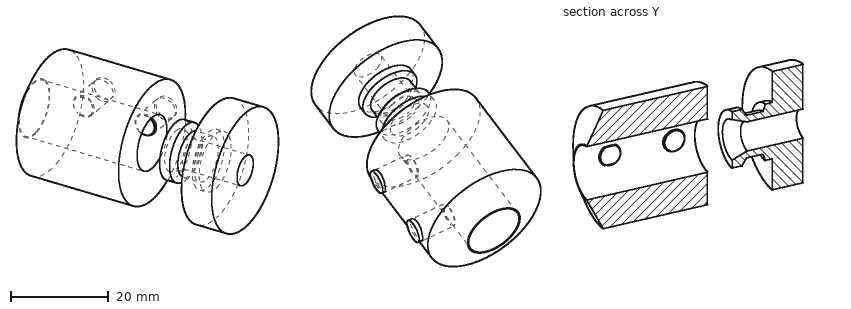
import cadquery as cq

overall_length = 50.05
flange_diameter = 27.0

housing_length = 28.0
nose_length = 3.75
nose_diameter = 12.5
bore_diameter = 12.0

screw_diameter = 4.95
screw_length = 8.6
screw_tip_chamfer = 0.2
screw_places = [(8.25, 14.25), (23.05, 14.1)]

disc_thickness = 7.15
stem_start = 33.6
stem_diameter = 12.9
neck_diameter = 9.8
groove_front = 35.95
neck_front = 37.0
neck_back = 40.75
groove_back = 41.25
hole_diameter = 6.55
countersink_diameter = 9.1
countersink_depth = 3.5


def revolve_about_x(profile):
    """Turn a closed (x, radius) outline into a solid of revolution."""
    return cq.Workplane("XY").polyline(profile).close().revolve(360, (0, 0, 0), (1, 0, 0))


def make_screw(x, outer_end):
    """Cylindrical set screw along Y with a chamfered inner end."""
    return (
        cq.Workplane("XZ", origin=(x, outer_end, 0))
        .circle(screw_diameter / 2)
        .extrude(screw_length)
        .faces("<Y")
        .chamfer(screw_tip_chamfer)
    )


def make_housing(screws):
    """Bored housing with one fitting hole for each screw."""
    outer_radius = flange_diameter / 2
    bore_radius = bore_diameter / 2
    housing = revolve_about_x([
        (0, bore_radius),
        (0, nose_diameter / 2),
        (nose_length, outer_radius),
        (housing_length, outer_radius),
        (housing_length, bore_radius),
    ])
    for screw in screws:
        housing = housing.cut(screw)
    return housing


def make_knob():
    """Disc and grooved stem in one piece, drilled along the axis."""
    disc_start = overall_length - disc_thickness
    stem_radius = stem_diameter / 2
    neck_radius = neck_diameter / 2
    disc_radius = flange_diameter / 2
    hole_radius = hole_diameter / 2
    return revolve_about_x([
        (stem_start, countersink_diameter / 2),
        (stem_start, stem_radius),
        (groove_front, stem_radius),
        (neck_front, neck_radius),
        (neck_back, neck_radius),
        (groove_back, stem_radius),
        (disc_start, stem_radius),
        (disc_start, disc_radius),
        (overall_length, disc_radius),
        (overall_length, hole_radius),
        (stem_start + countersink_depth, hole_radius),
    ])


screws = [make_screw(x, outer_end) for x, outer_end in screw_places]
housing = make_housing(screws)
knob = make_knob()

result = cq.Compound.makeCompound([
    housing.val(),
    knob.val(),
    *[screw.val() for screw in screws],
])